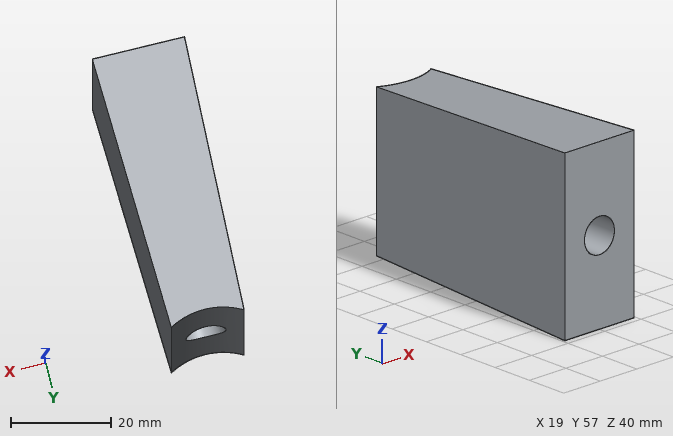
import cadquery as cq
import math

length = 57.0
front_width = 19.0
front_height = 40.0
back_width = 15.0
back_height = 36.0
saddle_radius = 15.0
bore_diameter = 8.2


def tapered_block():
    """Rectangular block narrowing evenly toward +Y in both width and height."""
    return (
        cq.Workplane("XZ")
        .rect(front_width, front_height)
        .workplane(offset=-length)
        .rect(back_width, back_height)
        .loft(ruled=True)
    )


def saddle_cutter():
    """Vertical cylinder whose surface passes through both narrow-end corners."""
    half_chord = back_width / 2
    axis_y = length + math.sqrt(saddle_radius**2 - half_chord**2)
    return (
        cq.Workplane("XY")
        .center(0, axis_y)
        .circle(saddle_radius)
        .extrude(front_height, both=True)
    )


def bore_cutter():
    """Central lengthwise through bore."""
    return cq.Workplane("XZ").circle(bore_diameter / 2).extrude(-length)


result = tapered_block().cut(saddle_cutter()).cut(bore_cutter())